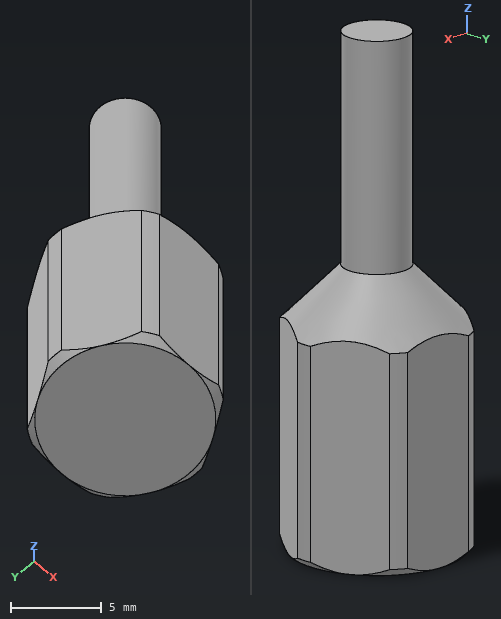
import cadquery as cq
import math

side_count = 6
across_flats = 10.0
corner_diameter = 11.0
pin_diameter = 4.0
total_height = 30.0
pin_length = 13.5
base_chamfer = 0.5

corner_radius = corner_diameter / 2
pin_radius = pin_diameter / 2
shoulder_top = total_height - pin_length
shoulder_bottom = shoulder_top - (corner_radius - pin_radius)


def turned_profile():
    """Revolved body: chamfered base, cylinder, conical shoulder and pin."""
    outline = (
        cq.Workplane("XZ")
        .moveTo(0, 0)
        .lineTo(corner_radius - base_chamfer, 0)
        .lineTo(corner_radius, base_chamfer)
        .lineTo(corner_radius, shoulder_bottom)
        .lineTo(pin_radius, shoulder_top)
        .lineTo(pin_radius, total_height)
        .lineTo(0, total_height)
        .close()
    )
    return outline.revolve(360, (0, 0), (0, 1))


def hexagonal_bar():
    """Full-height hexagonal prism with corners on X and flats facing Y."""
    across_corners = across_flats / math.cos(math.pi / side_count)
    return cq.Workplane("XY").polygon(side_count, across_corners).extrude(total_height)


result = turned_profile().intersect(hexagonal_bar())